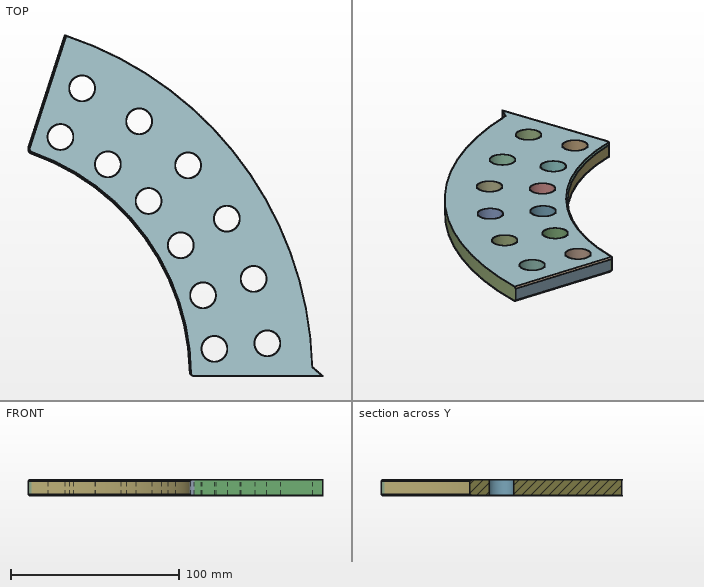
import cadquery as cq
import math

thickness = 9.5
sector_angle = 72.0
inner_radius = 139.9
overall_depth = 202.5
outer_radius = overall_depth / math.sin(math.radians(sector_angle))
corner_radius = 3.0
edge_chamfer = 1.0

lip_tip_x = 219.0
lip_height = 5.5

hole_diameter = 15.2
hole_row_radii = (155.5, 187.0)
holes_per_row = 6


def polar(radius, angle):
    """Point at a given radius and angle in degrees."""
    radians = math.radians(angle)
    return (radius * math.cos(radians), radius * math.sin(radians))


def make_plate():
    """Ring sector with the lip, all corners sharp."""
    lip_root_angle = math.degrees(math.asin(lip_height / outer_radius))
    outer_middle_angle = (lip_root_angle + sector_angle) / 2
    return (
        cq.Workplane("XY")
        .moveTo(inner_radius, 0)
        .lineTo(lip_tip_x, 0)
        .lineTo(*polar(outer_radius, lip_root_angle))
        .threePointArc(polar(outer_radius, outer_middle_angle), polar(outer_radius, sector_angle))
        .lineTo(*polar(inner_radius, sector_angle))
        .threePointArc(polar(inner_radius, sector_angle / 2), (inner_radius, 0))
        .close()
        .extrude(thickness)
    )


def round_corner(plate, angle):
    """Round the vertical edge where the inner arc meets the face at the given angle."""
    corner = (*polar(inner_radius, angle), thickness / 2)
    return plate.edges(cq.selectors.NearestToPointSelector(corner)).fillet(corner_radius)


def chamfer_rims(plate):
    """Bevel the top and bottom rims of the far end face, running on around the inner arc."""
    end_middle = polar((inner_radius + outer_radius) / 2, sector_angle)
    for z in (0, thickness):
        end_rim = cq.selectors.NearestToPointSelector((*end_middle, z))
        plate = plate.edges(end_rim).chamfer(edge_chamfer)
    return plate


def make_holes():
    """Cylinders for both rows of holes."""
    pitch_angle = sector_angle / holes_per_row
    centers = [
        polar(radius, (index + 0.5) * pitch_angle)
        for radius in hole_row_radii
        for index in range(holes_per_row)
    ]
    return cq.Workplane("XY").pushPoints(centers).circle(hole_diameter / 2).extrude(thickness)


plate = make_plate()
beveled_plate = chamfer_rims(round_corner(plate, sector_angle))
rounded_plate = round_corner(plate, 0)
result = beveled_plate.intersect(rounded_plate).cut(make_holes())